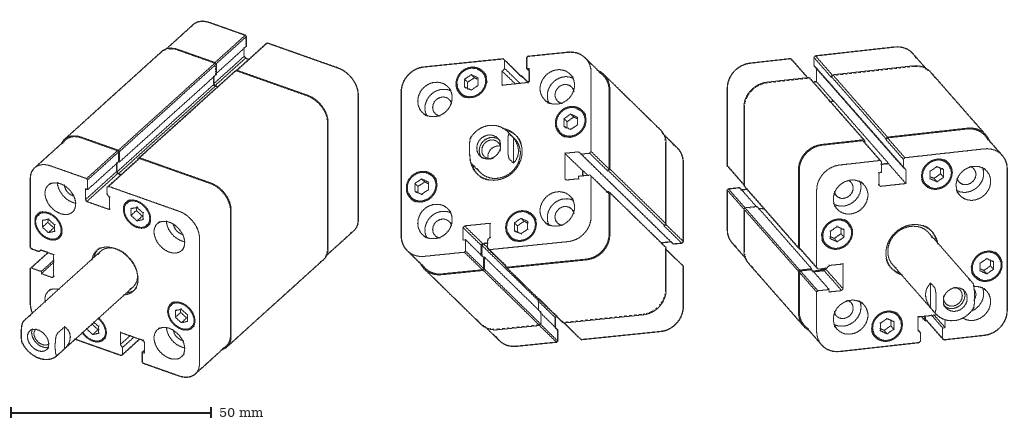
import cadquery as cq
import math

HOUSING_LENGTH = 74.5
CAP_LENGTH = 14.5
BARREL_SIDE = 50.1
CAP_SIDE = 49.7
CORNER_RADIUS = 6.0

ROD_DIAMETER = 12.0
ROD_FRONT_REACH = 36.0
ROD_REAR_REACH = 6.0
ROD_END_FILLET = 1.25
FLATS_WIDTH = 10.0
FLATS_LENGTH = 4.5
ROD_BORE_DIAMETER = 4.92
ROD_BORE_MOUTH_DIAMETER = 6.25
ROD_BORE_MOUTH_DEPTH = 2.0
ROD_BORE_DEPTH = 12.0
DRILL_POINT_ANGLE = 118.0
ROD_SEAL_DIAMETER = 13.6
ROD_SEAL_DEPTH = 1.0

MOUNT_SPACING = 32.0
MOUNT_HOLE_DIAMETER = 4.92
MOUNT_COUNTERBORE_DIAMETER = 9.0
MOUNT_COUNTERBORE_DEPTH = 5.8

SCREW_POSITION = (6.5, 19.5)
SCREW_COUNT = 4
SCREW_HEAD_DIAMETER = 7.5
SCREW_RECESS_DIAMETER = 8.0
SCREW_GAP_DEPTH = 1.0
HEX_ACROSS_FLATS = 3.5
HEX_DEPTH = 2.5

SLOT_CENTRE = -5.0
SLOT_MOUTH_WIDTH = 5.5
SLOT_INNER_WIDTH = 6.8
SLOT_DEPTH = 7.0
SLOT_LIP = 3.45
SLOT_LEFT_EDGE_CHAMFER = 0.3
SLOT_RIGHT_EDGE_CHAMFER = 0.4
SLOT_CORNER_CHAMFER = 0.4
CAP_SLOT_WALL_RELIEF = 0.25
CAP_SLOT_FLOOR_RELIEF = 0.1
SLOT_TURNS = (0, 180, 270)

HALF_SIDE = BARREL_SIDE / 2
BARREL_LENGTH = HOUSING_LENGTH - 2 * CAP_LENGTH
ROD_FRONT_END = -ROD_FRONT_REACH
ROD_REAR_END = HOUSING_LENGTH + ROD_REAR_REACH
ROD_LENGTH = ROD_REAR_END - ROD_FRONT_END
ROD_MIDDLE = (ROD_FRONT_END + ROD_REAR_END) / 2
CLEARANCE = 1.0


def section_plane(y):
    """Plane across the rod axis at y, with X to the right, Z up and its normal along -Y."""
    return cq.Workplane("XZ", origin=(0, y, 0))


def cylinder(x, z, diameter, y_start, length):
    return section_plane(y_start).center(x, z).circle(diameter / 2).extrude(-length)


def turned_about_axis(shape, angle):
    return shape.rotate((0, 0, 0), (0, 1, 0), angle)


def mirrored_end_to_end(shape, middle=HOUSING_LENGTH / 2):
    """Copy of shape reflected to the other end, by default that of the housing."""
    return shape.mirror("XZ", (0, middle, 0))


def square_block(side, y_start, length):
    block = section_plane(y_start).rect(side, side).extrude(-length)
    return block.edges("|Y").fillet(CORNER_RADIUS)


def make_housing():
    """Full-length block at the cap size, with the slightly larger barrel around its middle."""
    barrel = square_block(BARREL_SIDE, CAP_LENGTH, BARREL_LENGTH)
    inner_block = square_block(CAP_SIDE, 0, HOUSING_LENGTH)
    return barrel.union(inner_block)


def make_slot(side, wall_relief, floor_relief, y_start, length):
    """T-slot cutter for the top face of a block; the reliefs move its left walls and floor."""
    mouth_left = SLOT_CENTRE - SLOT_MOUTH_WIDTH / 2 - wall_relief
    mouth_right = SLOT_CENTRE + SLOT_MOUTH_WIDTH / 2
    inner_left = SLOT_CENTRE - SLOT_INNER_WIDTH / 2 - wall_relief
    inner_right = SLOT_CENTRE + SLOT_INNER_WIDTH / 2
    undercut = inner_right - mouth_right
    surface = side / 2
    top = surface + CLEARANCE
    lip_end = HALF_SIDE - SLOT_LIP
    floor = HALF_SIDE - SLOT_DEPTH - floor_relief
    outline = [
        (mouth_left - SLOT_LEFT_EDGE_CHAMFER, top),
        (mouth_left - SLOT_LEFT_EDGE_CHAMFER, surface),
        (mouth_left, surface - SLOT_LEFT_EDGE_CHAMFER),
        (mouth_left, lip_end),
        (inner_left, lip_end),
        (inner_left, floor + SLOT_CORNER_CHAMFER),
        (inner_left + SLOT_CORNER_CHAMFER, floor),
        (inner_right, floor),
        (inner_right, lip_end),
        (mouth_right, lip_end + undercut),
        (mouth_right, surface - SLOT_RIGHT_EDGE_CHAMFER),
        (mouth_right + SLOT_RIGHT_EDGE_CHAMFER, surface),
        (mouth_right + SLOT_RIGHT_EDGE_CHAMFER, top),
    ]
    return section_plane(y_start).polyline(outline).close().extrude(-length)


def cut_slots(body):
    barrel_slot = make_slot(BARREL_SIDE, 0, 0, CAP_LENGTH, BARREL_LENGTH)
    cap_slot = make_slot(CAP_SIDE, CAP_SLOT_WALL_RELIEF, CAP_SLOT_FLOOR_RELIEF, 0, CAP_LENGTH)
    for slot in (barrel_slot, cap_slot, mirrored_end_to_end(cap_slot)):
        for angle in SLOT_TURNS:
            body = body.cut(turned_about_axis(slot, angle))
    return body


def cut_mounting_holes(body):
    offset = MOUNT_SPACING / 2
    for x in (-offset, offset):
        for z in (-offset, offset):
            counterbore = cylinder(x, z, MOUNT_COUNTERBORE_DIAMETER, 0, MOUNT_COUNTERBORE_DEPTH)
            body = body.cut(cylinder(x, z, MOUNT_HOLE_DIAMETER, 0, HOUSING_LENGTH))
            body = body.cut(counterbore)
            body = body.cut(mirrored_end_to_end(counterbore))
    return body


def cut_screw_heads(body):
    """Ring gap around each flush cap screw, and the hexagon socket in its head."""
    x, z = SCREW_POSITION
    gap = cylinder(x, z, SCREW_RECESS_DIAMETER, 0, SCREW_GAP_DEPTH)
    gap = gap.cut(cylinder(x, z, SCREW_HEAD_DIAMETER, 0, SCREW_GAP_DEPTH))
    hex_diameter = HEX_ACROSS_FLATS / math.cos(math.radians(30))
    socket = section_plane(0).polygon(6, hex_diameter).extrude(-HEX_DEPTH)
    socket = turned_about_axis(socket, 90)
    for index in range(SCREW_COUNT):
        angle = index * 360 / SCREW_COUNT
        turn = math.radians(angle)
        screw_x = x * math.cos(turn) + z * math.sin(turn)
        screw_z = z * math.cos(turn) - x * math.sin(turn)
        screw = turned_about_axis(gap, angle).union(socket.translate((screw_x, 0, screw_z)))
        body = body.cut(screw).cut(mirrored_end_to_end(screw))
    return body


def cut_rod_seals(body):
    seal = cylinder(0, 0, ROD_SEAL_DIAMETER, 0, ROD_SEAL_DEPTH)
    return body.cut(seal).cut(mirrored_end_to_end(seal))


def make_flat_cutter(side):
    """Cutter for one wrench flat at the front rod end, with a 45 degree run-out."""
    flat = FLATS_WIDTH / 2
    runout = ROD_DIAMETER / 2 - flat + CLEARANCE
    flat_end = ROD_FRONT_END + FLATS_LENGTH
    outline = [
        (side * flat, ROD_FRONT_END),
        (side * flat, flat_end),
        (side * (flat + runout), flat_end + runout),
        (side * (flat + runout), ROD_FRONT_END),
    ]
    cutter = cq.Workplane("XY").polyline(outline).close()
    return cutter.extrude(ROD_DIAMETER / 2, both=True)


def make_rod_bore():
    """Blind bore in the front rod end with a wider mouth and a drill point."""
    radius = ROD_BORE_DIAMETER / 2
    mouth_radius = ROD_BORE_MOUTH_DIAMETER / 2
    point_length = radius / math.tan(math.radians(DRILL_POINT_ANGLE / 2))
    mouth_end = ROD_FRONT_END + ROD_BORE_MOUTH_DEPTH
    bore_end = ROD_FRONT_END + ROD_BORE_DEPTH
    outline = [
        (0, ROD_FRONT_END),
        (mouth_radius, ROD_FRONT_END),
        (mouth_radius, mouth_end),
        (radius, mouth_end),
        (radius, bore_end),
        (0, bore_end + point_length),
    ]
    profile = cq.Workplane("XY").polyline(outline).close()
    return profile.revolve(360, (0, 0, 0), (0, 1, 0))


def make_rod():
    rod = cylinder(0, 0, ROD_DIAMETER, ROD_FRONT_END, ROD_LENGTH)
    rod = rod.faces("<Y or >Y").edges().fillet(ROD_END_FILLET)
    for cutter in (make_flat_cutter(-1), make_flat_cutter(1), make_rod_bore()):
        rod = rod.cut(cutter).cut(mirrored_end_to_end(cutter, ROD_MIDDLE))
    return rod


housing = make_housing()
housing = cut_slots(housing)
housing = cut_mounting_holes(housing)
housing = cut_screw_heads(housing)
housing = cut_rod_seals(housing)
result = housing.union(make_rod())